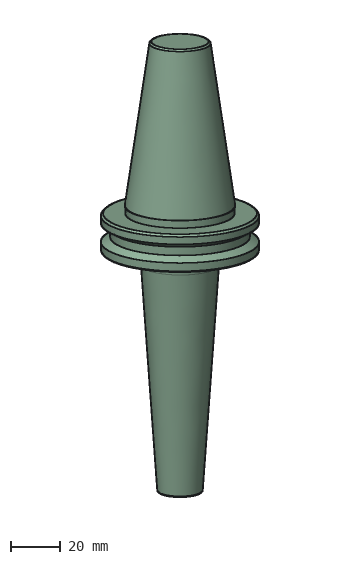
import cadquery as cq
import math

total_length = 187.5
taper_length = 68.5
flange_top_z = -3.2
flange_bottom_z = -19.0
nose_z = taper_length - total_length

gauge_diameter = 44.5
gauge_radius = gauge_diameter / 2
taper_ratio = 7 / 24
taper_end_radius = gauge_radius - taper_length * taper_ratio / 2
taper_end_chamfer = 0.8
neck_radius = 22.0

flange_diameter = 63.5
flange_radius = flange_diameter / 2
flange_chamfer = 1.0
flange_bottom_chamfer = 0.5
groove_floor_radius = 28.1
groove_floor_width = 3.5
groove_center_z = -11.0
groove_flank_angle = 30.0

shank_top_radius = 15.8
nose_radius = 9.2
nose_chamfer = 0.5
blend_radius = 5.0

groove_flank_height = (flange_radius - groove_floor_radius) * math.tan(math.radians(groove_flank_angle))
groove_floor_half = groove_floor_width / 2
groove_mouth_half = groove_floor_half + groove_flank_height

blend_center_z = flange_bottom_z - blend_radius
cone_angle = math.atan((shank_top_radius - nose_radius) / (blend_center_z - nose_z))
blend_center_radius = shank_top_radius + blend_radius * math.cos(cone_angle)
blend_cone_z = blend_center_z - blend_radius * math.sin(cone_angle)
blend_cone_radius = blend_center_radius - blend_radius * math.cos(cone_angle)
blend_mid_angle = (math.pi / 2 + math.pi + cone_angle) / 2
blend_mid = (
    blend_center_radius + blend_radius * math.cos(blend_mid_angle),
    blend_center_z + blend_radius * math.sin(blend_mid_angle),
)

profile = (
    cq.Workplane("XZ")
    .moveTo(0, taper_length)
    .lineTo(taper_end_radius - taper_end_chamfer, taper_length)
    .lineTo(taper_end_radius + taper_end_chamfer * taper_ratio / 2, taper_length - taper_end_chamfer)
    .lineTo(gauge_radius, 0)
    .lineTo(neck_radius, 0)
    .lineTo(neck_radius, flange_top_z)
    .lineTo(flange_radius - flange_chamfer, flange_top_z)
    .lineTo(flange_radius, flange_top_z - flange_chamfer)
    .lineTo(flange_radius, groove_center_z + groove_mouth_half)
    .lineTo(groove_floor_radius, groove_center_z + groove_floor_half)
    .lineTo(groove_floor_radius, groove_center_z - groove_floor_half)
    .lineTo(flange_radius, groove_center_z - groove_mouth_half)
    .lineTo(flange_radius, flange_bottom_z + flange_bottom_chamfer)
    .lineTo(flange_radius - flange_bottom_chamfer, flange_bottom_z)
    .lineTo(blend_center_radius, flange_bottom_z)
    .threePointArc(blend_mid, (blend_cone_radius, blend_cone_z))
    .lineTo(nose_radius, nose_z + nose_chamfer)
    .lineTo(nose_radius - nose_chamfer, nose_z)
    .lineTo(0, nose_z)
    .close()
)

result = profile.revolve(360, (0, 0, 0), (0, 1, 0))